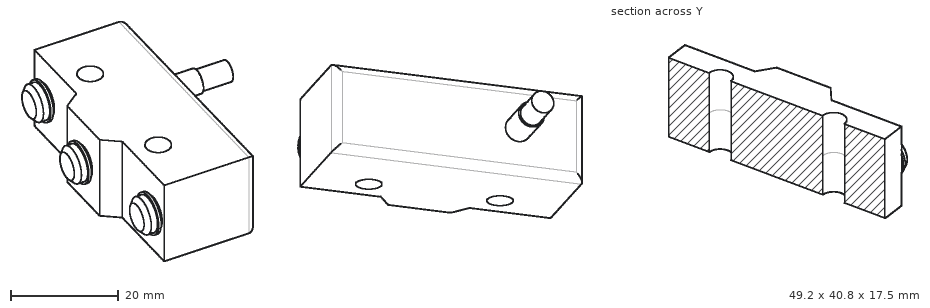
import cadquery as cq

HOUSING_LENGTH = 49.2
HOUSING_DEPTH = 19.7
HOUSING_HEIGHT = 17.5
BACK_FILLET = 1.6

BOSS_PROJECTION = 3.4
BOSS_BASE_WIDTH = 17.4
BOSS_TIP_WIDTH = 12.3

HOLE_DIAMETER = 4.9
HOLE_SPACING = 25.8
HOLE_Y = 5.3

NECK_DIAMETER = 6.85
FLANGE_DIAMETER = 8.35
HEAD_DIAMETER = 7.5
NECK_LENGTH = 0.65
FLANGE_THICKNESS = 0.55
TERMINAL_LENGTH = 3.5
HEAD_CHAMFER = 1.0
OUTER_TERMINAL_X = (HOUSING_LENGTH - FLANGE_DIAMETER) / 2

ACTUATOR_X = -11.6
SLEEVE_DIAMETER = 5.0
SLEEVE_LENGTH = 7.7
PLUNGER_DIAMETER = 4.35
PLUNGER_LENGTH = 6.55


def cylinder_along_y(diameter, length, x, start_y):
    """Cylinder on the mid-height plane, running toward +Y from start_y."""
    return (
        cq.Workplane("XZ", origin=(x, start_y, 0))
        .circle(diameter / 2)
        .extrude(-length)
    )


def make_housing():
    half_length = HOUSING_LENGTH / 2
    outline = [
        (-half_length, HOUSING_DEPTH),
        (-half_length, 0),
        (-BOSS_BASE_WIDTH / 2, 0),
        (-BOSS_TIP_WIDTH / 2, -BOSS_PROJECTION),
        (BOSS_TIP_WIDTH / 2, -BOSS_PROJECTION),
        (BOSS_BASE_WIDTH / 2, 0),
        (half_length, 0),
        (half_length, HOUSING_DEPTH),
    ]
    block = cq.Workplane("XY").polyline(outline).close().extrude(HOUSING_HEIGHT / 2, both=True)
    block = block.faces(">Y").edges().fillet(BACK_FILLET)
    mounting_holes = (
        cq.Workplane("XY")
        .pushPoints([(-HOLE_SPACING / 2, HOLE_Y), (HOLE_SPACING / 2, HOLE_Y)])
        .circle(HOLE_DIAMETER / 2)
        .extrude(HOUSING_HEIGHT, both=True)
    )
    return block.cut(mounting_holes)


def make_terminal(x, seat_y):
    """Necked, flanged and chamfered screw standing toward -Y on the face at seat_y."""
    flange_end = NECK_LENGTH + FLANGE_THICKNESS
    head_radius = HEAD_DIAMETER / 2
    half_section = [
        (0, 0),
        (NECK_DIAMETER / 2, 0),
        (NECK_DIAMETER / 2, -NECK_LENGTH),
        (FLANGE_DIAMETER / 2, -NECK_LENGTH),
        (FLANGE_DIAMETER / 2, -flange_end),
        (head_radius, -flange_end),
        (head_radius, HEAD_CHAMFER - TERMINAL_LENGTH),
        (head_radius - HEAD_CHAMFER, -TERMINAL_LENGTH),
        (0, -TERMINAL_LENGTH),
    ]
    screw = cq.Workplane("XY").polyline(half_section).close().revolve(360, (0, 0, 0), (0, 1, 0))
    return screw.translate((x, seat_y, 0))


def make_sleeve():
    return cylinder_along_y(SLEEVE_DIAMETER, SLEEVE_LENGTH, ACTUATOR_X, HOUSING_DEPTH)


def make_plunger():
    sleeve_end = HOUSING_DEPTH + SLEEVE_LENGTH
    return cylinder_along_y(PLUNGER_DIAMETER, PLUNGER_LENGTH, ACTUATOR_X, sleeve_end)


housing = make_housing()
sleeve = make_sleeve()
plunger = make_plunger()

terminal_seats = [
    (-OUTER_TERMINAL_X, 0),
    (0, -BOSS_PROJECTION),
    (OUTER_TERMINAL_X, 0),
]
terminals = [make_terminal(x, seat_y) for x, seat_y in terminal_seats]

result = cq.Compound.makeCompound([
    housing.val(),
    sleeve.val(),
    plunger.val(),
    *[terminal.val() for terminal in terminals],
])